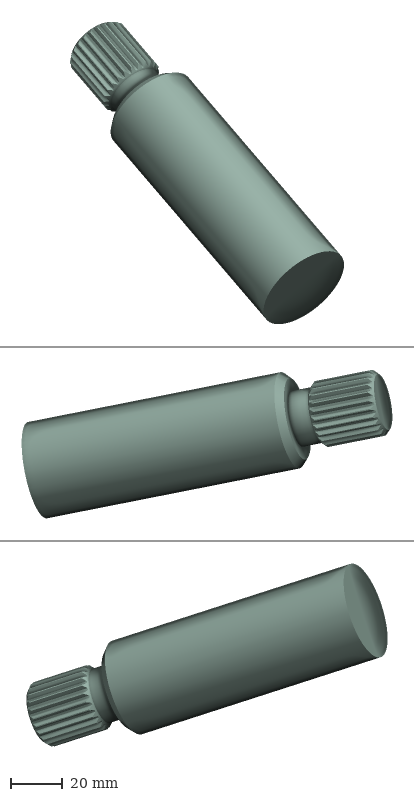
import cadquery as cq
import math

total_length = 141.0
body_diameter = 37.9
body_start = 35.0
body_chamfer = 3.0

neck_diameter = 22.0

spline_length = 27.0
spline_tip_diameter = 26.1
spline_root_diameter = 23.1
spline_end_face_diameter = 22.0
tooth_count = 24
tooth_tip_width = 0.4
tooth_gap_width = 0.8

tip_radius = spline_tip_diameter / 2
root_radius = spline_root_diameter / 2
tooth_pitch_angle = 2 * math.pi / tooth_count


def cylinder_along_x(start, end, diameter):
    return cq.Workplane("YZ", origin=(start, 0, 0)).circle(diameter / 2).extrude(end - start)


def polar(radius, angle):
    return (radius * math.cos(angle), radius * math.sin(angle))


def make_body():
    body = cylinder_along_x(body_start, total_length, body_diameter)
    return body.faces("<X").chamfer(body_chamfer)


def make_neck():
    return cylinder_along_x(spline_length, body_start, neck_diameter)


def make_toothed_bar():
    half_tip_angle = tooth_tip_width / 2 / tip_radius
    half_gap_angle = tooth_gap_width / 2 / root_radius
    outline = cq.Workplane("YZ").moveTo(*polar(tip_radius, -half_tip_angle))
    for i in range(tooth_count):
        tip_angle = i * tooth_pitch_angle
        gap_angle = tip_angle + tooth_pitch_angle / 2
        next_tip_angle = tip_angle + tooth_pitch_angle
        outline = outline.threePointArc(
            polar(tip_radius, tip_angle), polar(tip_radius, tip_angle + half_tip_angle)
        )
        outline = outline.lineTo(*polar(root_radius, gap_angle - half_gap_angle))
        outline = outline.threePointArc(
            polar(root_radius, gap_angle), polar(root_radius, gap_angle + half_gap_angle)
        )
        if i < tooth_count - 1:
            outline = outline.lineTo(*polar(tip_radius, next_tip_angle - half_tip_angle))
    return outline.close().extrude(spline_length)


def make_spline():
    end_bevel = (spline_tip_diameter - spline_end_face_diameter) / 2
    bevelled_blank = cylinder_along_x(0, spline_length, spline_tip_diameter)
    bevelled_blank = bevelled_blank.faces("<X or >X").chamfer(end_bevel)
    return make_toothed_bar().intersect(bevelled_blank)


result = make_body().union(make_neck()).union(make_spline())